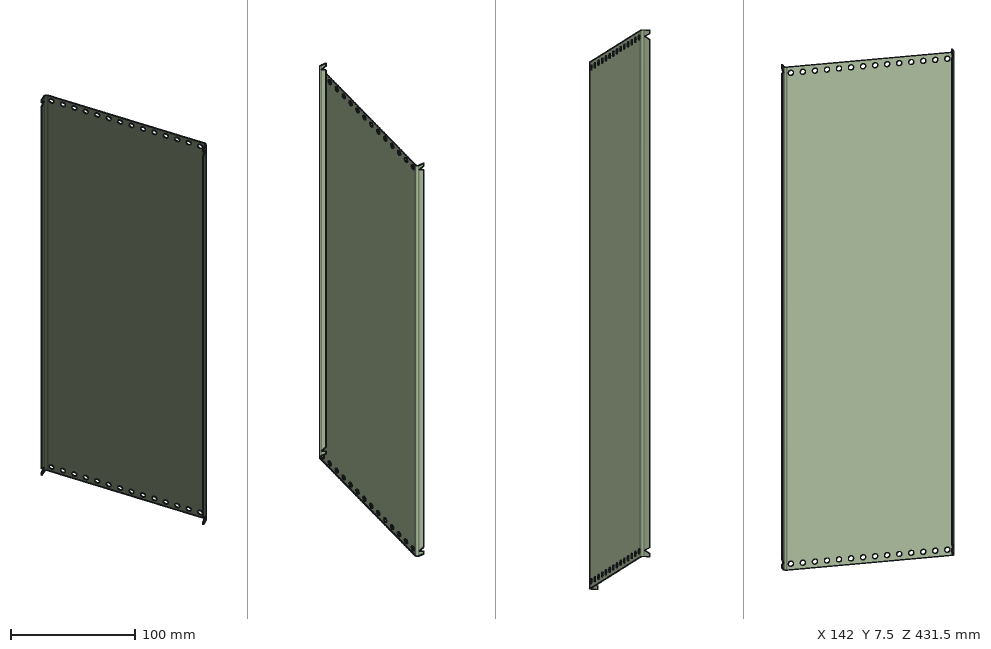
import cadquery as cq

height = 431.5
width = 142.0
depth = 7.5
sheet = 0.8
bend_radius = 2.5

hole_count = 14
hole_row_length = 130.0
hole_pitch = hole_row_length / (hole_count - 1)
hole_diameter = 4.5
hole_end_distance = 5.0

notch_width = 4.7
notch_depth = 4.5
notch_end_distance = 5.0

front_y = -depth / 2
back_y = depth / 2


def folded_sheet():
    """Flat web at the back with a flange folded forward along each long side."""
    outer = (
        cq.Workplane("XY")
        .box(width, depth, height)
        .edges("|Z and >Y")
        .fillet(bend_radius)
    )
    inner = (
        cq.Workplane("XY")
        .box(width - 2 * sheet, depth, height)
        .edges("|Z and >Y")
        .fillet(bend_radius - sheet)
        .translate((0, -sheet, 0))
    )
    return outer.cut(inner)


def hole_cutters():
    """One row of holes near each short end, running through the web."""
    row_offset = height / 2 - hole_end_distance
    return (
        cq.Workplane("XZ", origin=(0, back_y, 0))
        .rarray(hole_pitch, 2 * row_offset, hole_count, 2)
        .circle(hole_diameter / 2)
        .extrude(depth)
    )


def notch_cutter(z):
    """Notch open to the front, cut across both flanges at height z."""
    return (
        cq.Workplane("YZ")
        .moveTo(front_y, z - notch_width / 2)
        .lineTo(front_y + notch_depth, z)
        .lineTo(front_y, z + notch_width / 2)
        .close()
        .extrude(width / 2, both=True)
    )


result = folded_sheet().cut(hole_cutters())
for end in (-1, 1):
    result = result.cut(notch_cutter(end * (height / 2 - notch_end_distance)))